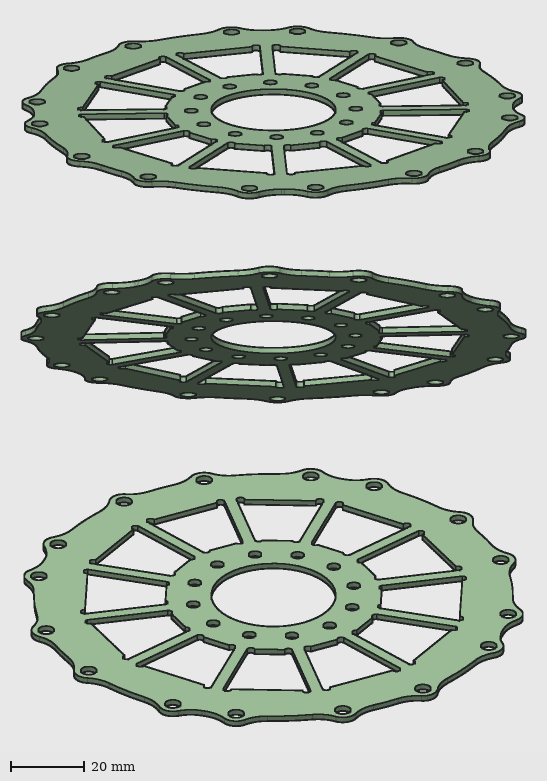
import cadquery as cq
import math

overall_size = 135.6
thickness = 1.6
rim_radius = 65.5
bore_diameter = 34.0

lug_circle_radius = 65.0
axis_pair_half_angle = 11.0
diagonal_pair_half_angle = 8.0
quadrant_count = 4
quadrant_angle = 360.0 / quadrant_count
lug_hole_diameter = 4.3
lug_fillet_radius = 10.0
seam_margin = 1.4
lug_radius = overall_size / 2 - lug_circle_radius * math.cos(math.radians(axis_pair_half_angle))

spoke_count = 12
spoke_pitch = 360.0 / spoke_count
spoke_width = 3.4
hub_hole_circle_radius = 22.5
hub_hole_diameter = 3.5

window_inner_distance = 29.4
window_outer_distance = 51.3
relief_radius = 1.1
inner_relief_inset = 0.4


def polar_point(radius, angle):
    """Point at a radius and an angle in degrees from +X."""
    return (radius * math.cos(math.radians(angle)), radius * math.sin(math.radians(angle)))


def lug_points():
    """Centres of all lugs around the rim."""
    points = []
    for quadrant in range(quadrant_count):
        axis_angle = quadrant * quadrant_angle
        diagonal_angle = axis_angle + quadrant_angle / 2
        for side in (-1, 1):
            points.append(polar_point(lug_circle_radius, axis_angle + side * axis_pair_half_angle))
            points.append(polar_point(lug_circle_radius, diagonal_angle + side * diagonal_pair_half_angle))
    return points


def make_blank():
    """Disc with lugs blended into the rim."""
    disc = cq.Workplane("XY").circle(rim_radius).extrude(thickness)
    lugs = cq.Workplane("XY").pushPoints(lug_points()).circle(lug_radius).extrude(thickness)
    seam_box = cq.selectors.BoxSelector(
        (rim_radius - seam_margin, -seam_margin, 0),
        (rim_radius + seam_margin, seam_margin, thickness),
    )
    blank = disc.union(lugs)
    corners = blank.edges("|Z").edges(cq.selectors.InverseSelector(seam_box))
    return corners.fillet(lug_fillet_radius)


def window_half_width(distance, side_gap):
    """Half-width at a distance from the centre, keeping side_gap from the spoke's centreline."""
    half_pitch = math.radians(spoke_pitch / 2)
    return distance * math.tan(half_pitch) - side_gap / math.cos(half_pitch)


def make_window():
    """Window cutter centred on +X, bounded by a spoke on each side."""
    inner_half = window_half_width(window_inner_distance, spoke_width / 2)
    outer_half = window_half_width(window_outer_distance, spoke_width / 2)
    outline = [
        (window_inner_distance, -inner_half),
        (window_outer_distance, -outer_half),
        (window_outer_distance, outer_half),
        (window_inner_distance, inner_half),
    ]
    window = cq.Workplane("XY").polyline(outline).close().extrude(thickness)

    relief_points = []
    for distance in (window_inner_distance + inner_relief_inset, window_outer_distance):
        half_width = window_half_width(distance, spoke_width / 2 + relief_radius)
        relief_points += [(distance, -half_width), (distance, half_width)]
    reliefs = cq.Workplane("XY").pushPoints(relief_points).circle(relief_radius).extrude(thickness)
    return window.union(reliefs)


def drill(plate, points, diameter):
    """Cut through holes at the given points."""
    return plate.cut(cq.Workplane("XY").pushPoints(points).circle(diameter / 2).extrude(thickness))


result = make_blank()

window = make_window()
for index in range(spoke_count):
    result = result.cut(window.rotate((0, 0, 0), (0, 0, 1), index * spoke_pitch))

hub_hole_points = [
    polar_point(hub_hole_circle_radius, (index + 0.5) * spoke_pitch) for index in range(spoke_count)
]
result = drill(result, [(0, 0)], bore_diameter)
result = drill(result, hub_hole_points, hub_hole_diameter)
result = drill(result, lug_points(), lug_hole_diameter)